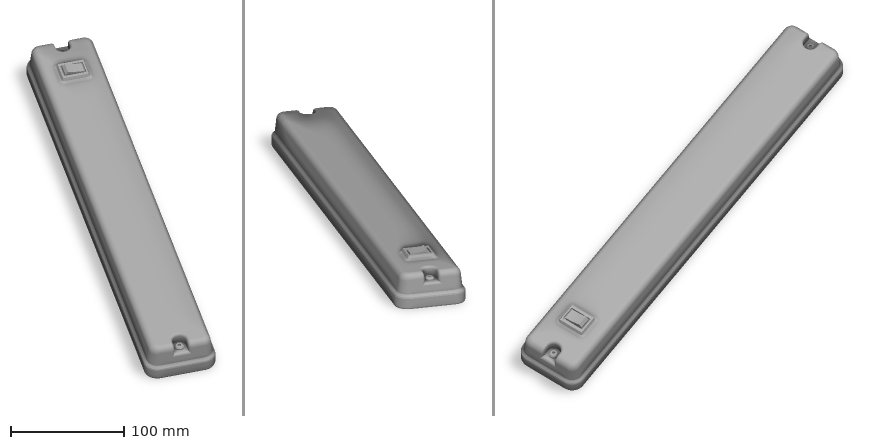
import cadquery as cq
import math

LENGTH = 419.0
WIDTH = 65.0
CORNER_RADIUS = 12.0
BASE_HEIGHT = 11.0
BASE_CHAMFER_HEIGHT = 1.3
BASE_CHAMFER_DEPTH = 0.5

SHOULDER_HEIGHT = 2.3
COVER_INSET = 2.72

COVER_BOTTOM = BASE_HEIGHT + SHOULDER_HEIGHT
COVER_HEIGHT = 18.0
COVER_TOP = COVER_BOTTOM + COVER_HEIGHT
COVER_DRAFT = 6.5
COVER_EDGE_RADIUS = 6.0

SCREW_INSET = 12.5
RECESS_WIDTH = 13.0
RECESS_RADIUS = RECESS_WIDTH / 2
RECESS_FLOOR = 21.8
RECESS_RIM = 2.5
SCREW_HEAD_DIAMETER = 8.5
SCREW_HEAD_HEIGHT = 2.5
SCREW_HEAD_CHAMFER = 1.3
SCREW_SOCKET_DIAMETER = 3.0
SCREW_SOCKET_DEPTH = 1.5

SWITCH_X = -LENGTH / 2 + 48.0
BEZEL_LENGTH = 27.2
BEZEL_WIDTH = 32.0
BEZEL_CORNER_RADIUS = 4.5
FOOT_HEIGHT = 1.3
FOOT_INSET = 3.0
COLLAR_HEIGHT = 2.5
COLLAR_INSET = 1.3
BEZEL_TOP = COVER_TOP + FOOT_HEIGHT + COLLAR_HEIGHT

OPENING_LENGTH = 13.5
OPENING_WIDTH = 20.5
OPENING_DEPTH = 1.5
ROCKER_CLEARANCE = 1.45
ROCKER_PEAK = 37.5
ROCKER_PEAK_Y = -6.3
ROCKER_PRESSED = 35.0
ROCKER_MIDDLE = 36.0


def rounded_block(length, width, height, radius, bottom, inset=0.0):
    """Rounded rectangular block whose sides lean inward by the inset over its height."""
    taper = math.degrees(math.atan2(inset, height))
    outline = cq.Sketch().rect(length, width).vertices().fillet(radius)
    return cq.Workplane("XY").workplane(offset=bottom).placeSketch(outline).extrude(height, taper=taper)


def make_housing():
    """Base tray, sloped shoulder and tapered cover."""
    base = rounded_block(LENGTH, WIDTH, BASE_HEIGHT, CORNER_RADIUS, 0)
    base = base.faces("<Z or >Z").edges().chamfer(BASE_CHAMFER_HEIGHT, BASE_CHAMFER_DEPTH)

    shoulder = rounded_block(
        LENGTH - 2 * BASE_CHAMFER_DEPTH,
        WIDTH - 2 * BASE_CHAMFER_DEPTH,
        SHOULDER_HEIGHT,
        CORNER_RADIUS - BASE_CHAMFER_DEPTH,
        BASE_HEIGHT,
        COVER_INSET - BASE_CHAMFER_DEPTH,
    )

    cover = rounded_block(
        LENGTH - 2 * COVER_INSET,
        WIDTH - 2 * COVER_INSET,
        COVER_HEIGHT,
        CORNER_RADIUS - COVER_INSET,
        COVER_BOTTOM,
        COVER_HEIGHT * math.tan(math.radians(COVER_DRAFT)),
    )
    cover = cover.faces(">Z").edges().fillet(COVER_EDGE_RADIUS)
    for side in (-1, 1):
        cover = cut_recess(cover, side)
    return base.union(shoulder).union(cover)


def cut_recess(cover, side):
    """Cut a U-shaped recess through one end and round the rim where it breaks the surface."""
    depth = COVER_TOP - RECESS_FLOOR
    center_x = side * (LENGTH / 2 - SCREW_INSET)
    floor = cq.Workplane("XY").workplane(offset=RECESS_FLOOR)
    round_end = floor.center(center_x, 0).circle(RECESS_RADIUS).extrude(depth)
    channel = floor.center(center_x + side * SCREW_INSET / 2, 0)
    channel = channel.rect(SCREW_INSET, RECESS_WIDTH).extrude(depth)
    recess = round_end.union(channel)

    cover = cover.cut(recess)

    inner_x = center_x - side * RECESS_WIDTH
    below_floor = RECESS_FLOOR - RECESS_RIM
    recess_edges = cq.selectors.BoxSelector(
        (inner_x, -RECESS_RADIUS - RECESS_RIM, below_floor),
        (side * LENGTH / 2, RECESS_RADIUS + RECESS_RIM, COVER_TOP + RECESS_RIM),
        boundingbox=True,
    )
    inner_edges = cq.selectors.BoxSelector(
        (inner_x, -RECESS_WIDTH, below_floor),
        (center_x + side * COVER_EDGE_RADIUS, RECESS_WIDTH, COVER_TOP - RECESS_RIM),
    )
    return cover.edges(recess_edges - inner_edges).fillet(RECESS_RIM)


def make_screw(side):
    """Round screw head with a blind socket, standing on a recess floor."""
    floor = cq.Workplane("XY").workplane(offset=RECESS_FLOOR)
    head = floor.center(side * (LENGTH / 2 - SCREW_INSET), 0).circle(SCREW_HEAD_DIAMETER / 2)
    head = head.extrude(SCREW_HEAD_HEIGHT).faces(">Z").chamfer(SCREW_HEAD_CHAMFER)
    return head.faces(">Z").workplane().hole(SCREW_SOCKET_DIAMETER, SCREW_SOCKET_DEPTH)


def make_bezel():
    """Two-step sloped frame around the switch opening."""
    foot = rounded_block(
        BEZEL_LENGTH, BEZEL_WIDTH, FOOT_HEIGHT, BEZEL_CORNER_RADIUS, COVER_TOP, FOOT_INSET
    )
    collar = rounded_block(
        BEZEL_LENGTH - 2 * FOOT_INSET,
        BEZEL_WIDTH - 2 * FOOT_INSET,
        COLLAR_HEIGHT,
        BEZEL_CORNER_RADIUS - FOOT_INSET,
        COVER_TOP + FOOT_HEIGHT,
        COLLAR_INSET,
    )
    opening = cq.Workplane("XY").workplane(offset=BEZEL_TOP - OPENING_DEPTH)
    opening = opening.rect(OPENING_LENGTH, OPENING_WIDTH).extrude(OPENING_DEPTH)
    return foot.union(collar).cut(opening).translate((SWITCH_X, 0, 0))


def make_rocker():
    """Rocker with a dished top, pressed down on its +Y half."""
    rocker_length = OPENING_LENGTH - 2 * ROCKER_CLEARANCE
    half_width = OPENING_WIDTH / 2 - ROCKER_CLEARANCE
    bottom = BEZEL_TOP - OPENING_DEPTH
    profile = (
        cq.Workplane("YZ")
        .moveTo(-half_width, bottom)
        .lineTo(-half_width, BEZEL_TOP)
        .lineTo(ROCKER_PEAK_Y, ROCKER_PEAK)
        .threePointArc((0, ROCKER_MIDDLE), (half_width, ROCKER_PRESSED))
        .lineTo(half_width, bottom)
        .close()
    )
    return profile.extrude(rocker_length / 2, both=True).translate((SWITCH_X, 0, 0))


result = make_housing().union(make_bezel()).union(make_rocker())
for end in (-1, 1):
    result = result.union(make_screw(end))